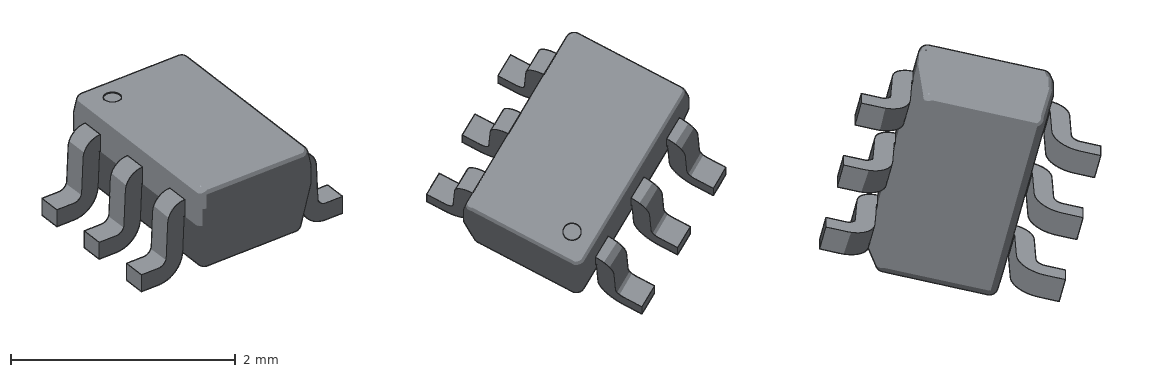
import cadquery as cq
import math

body_length = 2.0
body_width = 1.25
body_top = 1.0
body_bottom = 0.1
body_taper = 8.0
edge_radius = 0.08

lead_span = 2.2
lead_thickness = 0.18
lead_width = 0.23
lead_pitch = 0.65
leads_per_side = 3
foot_length = 0.187
foot_bend_radius = 0.084
shoulder_radius = 0.19
lead_embed = 0.11

band_top = 0.8
band_bottom = band_top - lead_thickness

mark_diameter = 0.163
mark_depth = 0.01
mark_x = -0.72
mark_y = -0.36


def make_body():
    """Band, upper taper and lower taper, with every outer edge rounded."""
    band = (
        cq.Workplane("XY", origin=(0, 0, band_bottom))
        .rect(body_length, body_width)
        .extrude(lead_thickness)
    )
    upper = (
        cq.Workplane("XY", origin=(0, 0, band_top))
        .rect(body_length, body_width)
        .extrude(body_top - band_top, taper=body_taper)
    )
    lower = (
        cq.Workplane("XY", origin=(0, 0, band_bottom))
        .rect(body_length, body_width)
        .extrude(body_bottom - band_bottom, taper=body_taper)
    )
    body = band.union(upper).union(lower)
    corners = body.edges("not #Z")
    rims = body.faces("<Z or >Z").edges()
    return body.newObject(corners.vals() + rims.vals()).fillet(edge_radius)


def make_lead():
    """One lead on the +Y side, centred on X = 0."""
    root_y = body_width / 2 - lead_embed
    tip_y = lead_span / 2
    outer_foot_radius = foot_bend_radius + lead_thickness

    shoulder_y = body_width / 2
    shoulder_z = band_top - shoulder_radius
    foot_y = tip_y - foot_length
    foot_z = outer_foot_radius

    run = foot_y - shoulder_y
    drop = shoulder_z - foot_z
    reach = shoulder_radius + foot_bend_radius
    lean = math.acos(reach / math.hypot(run, drop)) - math.atan2(drop, run)
    middle = (math.pi / 2 + lean) / 2

    def on_shoulder(angle):
        return (
            shoulder_y + shoulder_radius * math.cos(angle),
            shoulder_z + shoulder_radius * math.sin(angle),
        )

    def on_foot_bend(radius, angle):
        return (foot_y - radius * math.cos(angle), foot_z - radius * math.sin(angle))

    inner_leg_y, inner_leg_z = on_foot_bend(outer_foot_radius, lean)
    corner_y = inner_leg_y - (band_bottom - inner_leg_z) * math.tan(lean)

    return (
        cq.Workplane("YZ", origin=(-lead_width / 2, 0, 0))
        .moveTo(root_y, band_top)
        .lineTo(shoulder_y, band_top)
        .threePointArc(on_shoulder(middle), on_shoulder(lean))
        .lineTo(*on_foot_bend(foot_bend_radius, lean))
        .threePointArc(on_foot_bend(foot_bend_radius, middle), (foot_y, lead_thickness))
        .lineTo(tip_y, lead_thickness)
        .lineTo(tip_y, 0)
        .lineTo(foot_y, 0)
        .threePointArc(on_foot_bend(outer_foot_radius, middle), (inner_leg_y, inner_leg_z))
        .lineTo(corner_y, band_bottom)
        .lineTo(root_y, band_bottom)
        .close()
        .extrude(lead_width)
    )


def make_mark():
    """Cutter for the pin 1 recess."""
    return (
        cq.Workplane("XY", origin=(mark_x, mark_y, body_top - mark_depth))
        .circle(mark_diameter / 2)
        .extrude(mark_depth)
    )


result = make_body().cut(make_mark())
lead = make_lead()
for index in range(leads_per_side):
    lead_x = (index - (leads_per_side - 1) / 2) * lead_pitch
    placed_lead = lead.translate((lead_x, 0, 0))
    result = result.union(placed_lead).union(placed_lead.mirror("XZ"))